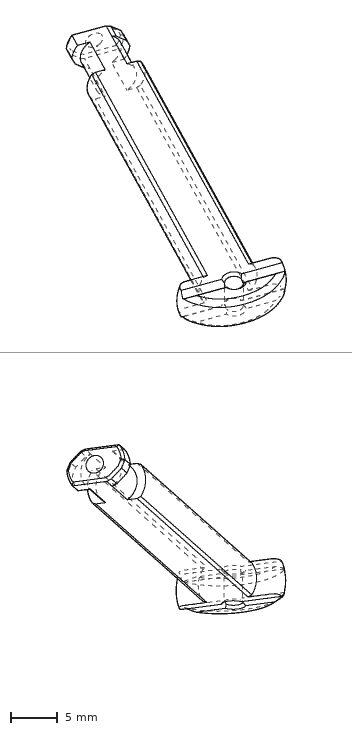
import cadquery as cq
import math

length = 44.4
thickness = 4.0
half_thickness = thickness / 2

shaft_radius = 3.35
neck_radius = 2.35
tip_length = 1.95
neck_end = 6.45
shaft_flat_half_width = 2.35
shaft_bevel_drop = 0.18
tip_chamfer = 0.3

hole_diameter = 2.0
hole_radius = hole_diameter / 2
end_dimple_radius = hole_radius
end_dimple_depth = end_dimple_radius

neck_flat_half_width = math.sqrt(neck_radius**2 - half_thickness**2)
relief_points = [
    (neck_flat_half_width, half_thickness),
    (1.78, 1.78),
    (2.95, 0.7),
    (3.35, -0.2),
]

head_start = 39.3
head_radius = 6.12
collar_fillet = 0.85
dome_shoulder = (42.35, 5.15)
dome_edge_chamfer = 0.58

groove_x = 41.1
groove_depth = 0.65
countersink_radius = 1.35


def rounded_bar(radius, x_start, x_end):
    """Round bar along X, from x_start to x_end."""
    return cq.Workplane("YZ", origin=(x_start, 0, 0)).circle(radius).extrude(x_end - x_start)


def flat_sided(body):
    """Trim a body to the common thickness."""
    slab = cq.Workplane("XY").box(3 * length, 3 * length, thickness)
    return body.intersect(slab)


def make_tip():
    """Bayonet tip with two opposite corners relieved, an end chamfer and a conical dimple."""
    tip = flat_sided(rounded_bar(shaft_radius, 0, tip_length))
    outside = 2 * shaft_radius
    corner_points = relief_points + [(outside, relief_points[-1][1]), (outside, outside)]
    corner_points.append((relief_points[0][0], outside))
    corner = cq.Workplane("YZ").polyline(corner_points).close().extrude(tip_length)
    for angle in (0, 180):
        tip = tip.cut(corner.rotate((0, 0, 0), (1, 0, 0), angle))
    tip = tip.faces("<X").edges().chamfer(tip_chamfer)
    dimple = cq.Solid.makeCone(
        end_dimple_radius, 0, end_dimple_depth, cq.Vector(0, 0, 0), cq.Vector(1, 0, 0)
    )
    return tip.cut(cq.Workplane(dimple))


def make_neck():
    """Thin flat-sided neck between the tip and the shaft."""
    return flat_sided(rounded_bar(neck_radius, tip_length, neck_end))


def make_shaft():
    """Round-sided shaft whose flats are bevelled along their edges."""
    bevel_z = half_thickness - shaft_bevel_drop
    bevel_y = math.sqrt(shaft_radius**2 - bevel_z**2)
    return (
        cq.Workplane("YZ", origin=(neck_end, 0, 0))
        .moveTo(-shaft_flat_half_width, half_thickness)
        .lineTo(shaft_flat_half_width, half_thickness)
        .lineTo(bevel_y, bevel_z)
        .threePointArc((shaft_radius, 0), (bevel_y, -bevel_z))
        .lineTo(shaft_flat_half_width, -half_thickness)
        .lineTo(-shaft_flat_half_width, -half_thickness)
        .lineTo(-bevel_y, -bevel_z)
        .threePointArc((-shaft_radius, 0), (-bevel_y, bevel_z))
        .close()
        .extrude(head_start - neck_end)
    )


def make_head_blank():
    """Revolved head: flat collar face, filleted rim and a smooth dome, square to the axis at its end."""
    rim_x = head_start + collar_fillet
    fillet_offset = collar_fillet * math.sqrt(0.5)
    fillet_middle = (rim_x - fillet_offset, head_radius - collar_fillet + fillet_offset)
    head = (
        cq.Workplane("XY")
        .moveTo(head_start, 0)
        .lineTo(head_start, head_radius - collar_fillet)
        .threePointArc(fillet_middle, (rim_x, head_radius))
        .spline([dome_shoulder, (length, 0)], tangents=[(1, 0), (0, -1)], includeCurrent=True)
        .close()
        .revolve(360, (0, 0, 0), (1, 0, 0))
    )
    return flat_sided(head)


def groove_cutter(side):
    """V groove along Y in the flat at Z = side * half_thickness."""
    top_z = side * half_thickness
    return (
        cq.Workplane("XZ", origin=(0, length / 2, 0))
        .moveTo(groove_x - groove_depth, top_z)
        .lineTo(groove_x + groove_depth, top_z)
        .lineTo(groove_x, top_z - side * groove_depth)
        .close()
        .extrude(length)
    )


def hole_cutter():
    """Pin hole through the thickness, countersunk at 90 degrees from both flats."""
    sink_depth = countersink_radius - hole_radius
    sink_floor = half_thickness - sink_depth
    return (
        cq.Workplane("XZ")
        .moveTo(0, -half_thickness)
        .lineTo(countersink_radius, -half_thickness)
        .lineTo(hole_radius, -sink_floor)
        .lineTo(hole_radius, sink_floor)
        .lineTo(countersink_radius, half_thickness)
        .lineTo(0, half_thickness)
        .close()
        .revolve(360, (0, 0, 0), (0, 1, 0))
        .translate((groove_x, 0, 0))
    )


def make_head():
    """Head with its dome edges chamfered beyond the groove and plain on the collar side."""
    blank = make_head_blank()
    collar_half = cq.Workplane("XY").box(length, length, length).translate((groove_x - length / 2, 0, 0))
    collar = blank.intersect(collar_half)
    dome = blank.cut(collar_half)
    dome = dome.faces("|Z").edges("not |Y").chamfer(dome_edge_chamfer)
    head = collar.union(dome)
    for side in (1, -1):
        head = head.cut(groove_cutter(side))
    return head


result = make_tip().union(make_neck()).union(make_shaft()).union(make_head())
result = result.cut(hole_cutter()).clean()